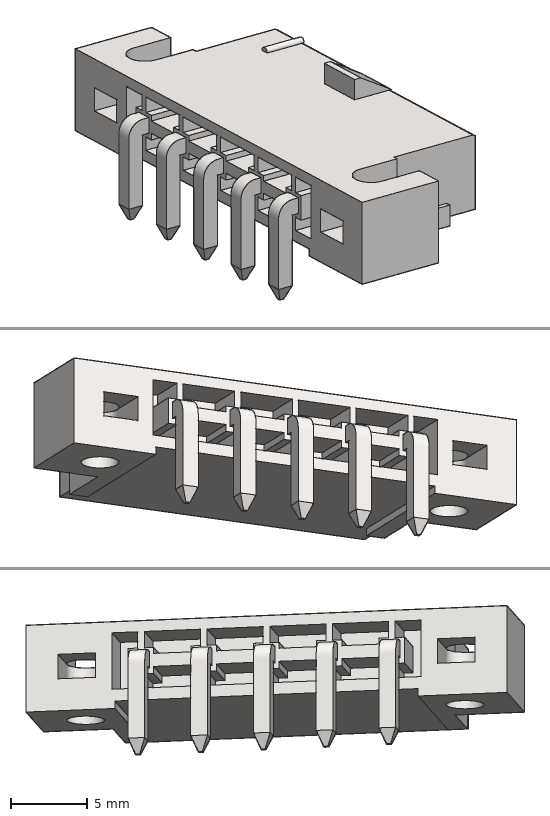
import cadquery as cq


housing_width = 22.2
housing_depth = 12.8
housing_bottom = 0.5
top = 5.85
rear_bevel_depth = 0.2
rear_bevel_drop = 0.1

flange_width = 32.2
flange_depth = 6.2
foot_inner_x = 10.15
slot_x = 12.7
slot_y = 3.2
slot_diameter = 2.5
slot_floor = 3.8
window_bottom = 2.15
window_top = 3.8

rail_outer_x = slot_x - slot_diameter / 2
rail_end_y = 10.5
rail_top = 1.5

latch_width = 3.4
latch_front_y = 9.8
latch_crest = 0.5
latch_top = 7.3
ridge_radius = 0.3

pin_count = 5
pitch = 4.2
pin_size = 1.12
pin_front_y = -1.62
pin_top = 3.75
pin_embed_depth = 2.0
pin_tip_z = -3.4
pin_tip_length = 1.0
pin_tip_size = 0.3

recess_width = 20.7
recess_bottom = 1.3
recess_top = 5.1
recess_depth = 3.0
rib_width = 0.45
block_width = 1.7
block_bottom = 2.25
block_top = 4.0
bar_bottom = 2.72
bar_top = 3.6

pin_row_width = (pin_count - 1) * pitch
pin_positions = [i * pitch - pin_row_width / 2 for i in range(pin_count)]


def box(x0, x1, y0, y1, z0, z1):
    """Axis-aligned box between two opposite corners."""
    return cq.Workplane("XY").box(x1 - x0, y1 - y0, z1 - z0, centered=False).translate((x0, y0, z0))


def centred_box(x, width, y0, y1, z0, z1):
    """Axis-aligned box centred on x."""
    return box(x - width / 2, x + width / 2, y0, y1, z0, z1)


def make_housing():
    """Bevelled main body with the mounting flange and the two side rails."""
    body = (
        cq.Workplane("YZ")
        .moveTo(0, housing_bottom)
        .lineTo(0, top)
        .lineTo(housing_depth - rear_bevel_depth, top)
        .lineTo(housing_depth, top - rear_bevel_drop)
        .lineTo(housing_depth, housing_bottom)
        .close()
        .extrude(housing_width / 2, both=True)
    )
    flange = centred_box(0, flange_width, 0, flange_depth, 0, top)
    flange = flange.cut(centred_box(0, 2 * foot_inner_x, 0, flange_depth, 0, housing_bottom))
    body = body.union(flange)
    for x0, x1 in ((-rail_outer_x, -foot_inner_x), (foot_inner_x, rail_outer_x)):
        body = body.union(box(x0, x1, 0, rail_end_y, 0, rail_top))
    return body


def make_screw_slot(x):
    """Screw hole, the slot running from it to the rear, and the front window into the hole."""
    hole = cq.Workplane("XY").center(x, slot_y).circle(slot_diameter / 2).extrude(top)
    slot = centred_box(x, slot_diameter, slot_y, flange_depth, slot_floor, top)
    window = centred_box(x, slot_diameter, 0, slot_y, window_bottom, window_top)
    return hole.union(slot).union(window)


def make_recess():
    """Recess volume, less the ribs, blocks and bar that stay flush with the front face."""
    recess = centred_box(0, recess_width, 0, recess_depth, recess_bottom, recess_top)
    recess = recess.cut(centred_box(0, pin_row_width, 0, recess_depth, bar_bottom, bar_top))
    for x in pin_positions:
        recess = recess.cut(centred_box(x, rib_width, 0, recess_depth, recess_bottom, recess_top))
        recess = recess.cut(centred_box(x, block_width, 0, recess_depth, block_bottom, block_top))
    return recess


def make_latch():
    """Ramp with a short flat crest; its thin edge overhangs the rear bevel."""
    profile = (
        cq.Workplane("YZ")
        .moveTo(latch_front_y, top)
        .lineTo(latch_front_y, latch_top)
        .lineTo(latch_front_y + latch_crest, latch_top)
        .lineTo(housing_depth, top)
        .close()
    )
    return profile.extrude(latch_width / 2, both=True)


def make_ridge():
    """Half-round ridge as long as the latch, in line with the first pin."""
    ridge = (
        cq.Workplane("XZ", origin=(pin_positions[0], latch_front_y, top))
        .moveTo(-ridge_radius, 0)
        .threePointArc((0, ridge_radius), (ridge_radius, 0))
        .close()
    )
    return ridge.extrude(latch_front_y - housing_depth)


def make_pin(x):
    """Right-angle pin with a round outer bend, a sharp inner corner and a tapered tip."""
    inner_y = pin_front_y + pin_size
    inner_z = pin_top - pin_size
    shoulder_z = pin_tip_z + pin_tip_length
    shank = (
        cq.Workplane("YZ")
        .moveTo(pin_embed_depth, pin_top)
        .lineTo(inner_y, pin_top)
        .radiusArc((pin_front_y, inner_z), -pin_size)
        .lineTo(pin_front_y, shoulder_z)
        .lineTo(inner_y, shoulder_z)
        .lineTo(inner_y, inner_z)
        .lineTo(pin_embed_depth, inner_z)
        .close()
        .extrude(pin_size / 2, both=True)
    )
    tip = (
        cq.Workplane("XY", origin=(0, pin_front_y + pin_size / 2, shoulder_z))
        .rect(pin_size, pin_size)
        .workplane(offset=-pin_tip_length)
        .rect(pin_tip_size, pin_tip_size)
        .loft()
    )
    return shank.union(tip).translate((x, 0, 0))


result = make_housing()
for side in (-1, 1):
    result = result.cut(make_screw_slot(side * slot_x))
result = result.cut(make_recess())
result = result.union(make_latch()).union(make_ridge())
for pin_x in pin_positions:
    result = result.union(make_pin(pin_x))